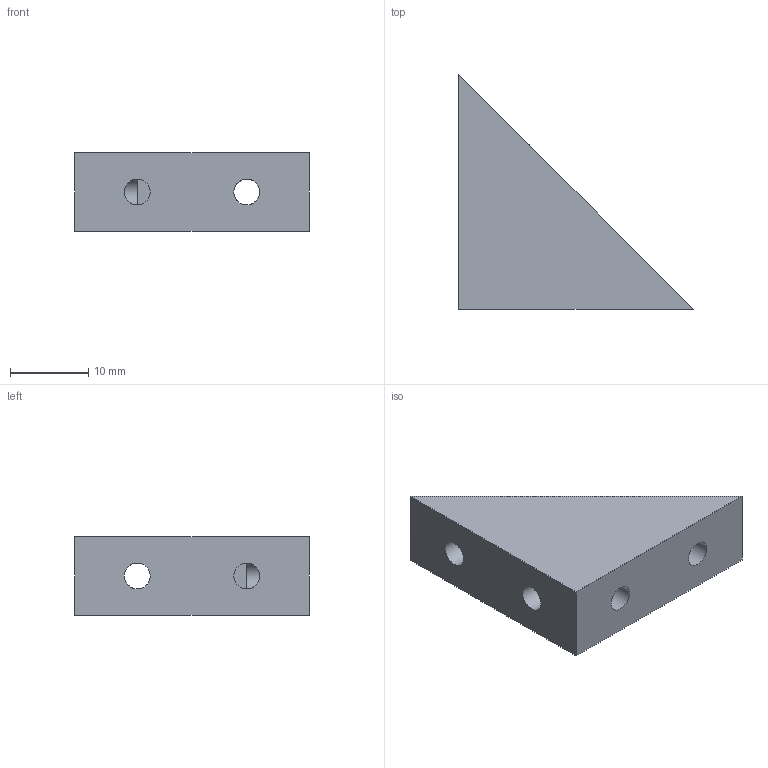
import cadquery as cq

leg_length = 30.0
thickness = 10.0

hole_diameter = 3.3
near_hole_offset = 8.0
far_hole_offset = 22.0

near_hole_depth = near_hole_offset
far_hole_depth = leg_length


def triangular_block():
    corners = [(0, 0), (leg_length, 0), (0, leg_length)]
    return cq.Workplane("XY").polyline(corners).close().extrude(thickness)


def hole_along(direction, start, depth):
    """Flat-bottomed drill volume running from start along direction."""
    cylinder = cq.Solid.makeCylinder(hole_diameter / 2, depth, cq.Vector(*start), cq.Vector(*direction))
    return cq.Workplane(obj=cylinder)


def drill_leg_holes(block, offset, depth):
    """Drill one hole in each leg face, at the same offset from the square corner."""
    mid_height = thickness / 2
    along_y = hole_along((0, 1, 0), (offset, 0, mid_height), depth)
    along_x = hole_along((1, 0, 0), (0, offset, mid_height), depth)
    return block.cut(along_y).cut(along_x)


result = triangular_block()
result = drill_leg_holes(result, near_hole_offset, near_hole_depth)
result = drill_leg_holes(result, far_hole_offset, far_hole_depth)